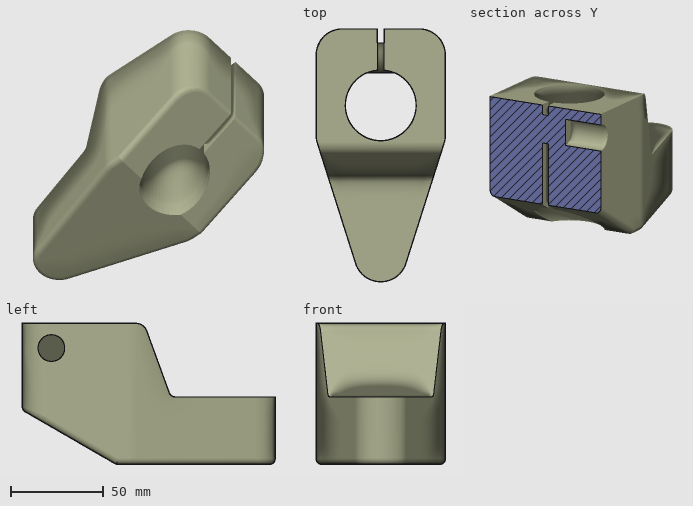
import cadquery as cq
import math

body_width = 69.85
body_length = 136.58
body_height = 76.2

back_y = 41.275
front_y = back_y - body_length
round_radius = 14.2875
taper_start_y = -18.3

nose_height = 36.5125
slope_foot_y = -38.9
slope_lean = 20.0
slope_top_radius = 6.35
slope_foot_radius = 3.175
undercut_length = 50.8
undercut_angle = 30.0
base_edge_radius = 3.175

bore_diameter = 38.1
slot_width = 3.66
pin_y = back_y - 15.75
pin_z = body_height - 13.4
pin_diameter = 16.2
pin_length = 25.4
socket_diameter = 14.4

half_width = body_width / 2


def make_plan_prism():
    """Full-height prism of the plan outline, with rounded vertical corners."""
    nose_center_y = front_y + round_radius

    reach_y = taper_start_y - nose_center_y
    reach = math.hypot(half_width, reach_y)
    normal_angle = math.atan2(reach_y, half_width) - math.acos(round_radius / reach)
    tangent_x = round_radius * math.cos(normal_angle)
    tangent_y = nose_center_y + round_radius * math.sin(normal_angle)

    prism = (
        cq.Workplane("XY")
        .moveTo(-half_width, back_y)
        .lineTo(half_width, back_y)
        .lineTo(half_width, taper_start_y)
        .lineTo(tangent_x, tangent_y)
        .threePointArc((0, front_y), (-tangent_x, tangent_y))
        .lineTo(-half_width, taper_start_y)
        .close()
        .extrude(body_height)
    )
    corners = [(x, y) for x in (-half_width, half_width) for y in (back_y, taper_start_y)]
    for x, y in corners:
        corner_edge = cq.selectors.NearestToPointSelector((x, y, body_height / 2))
        prism = prism.edges(corner_edge).fillet(round_radius)
    return prism


def make_side_prism():
    """Prism of the side profile, across the full width."""
    slope_top_y = slope_foot_y + (body_height - nose_height) * math.tan(math.radians(slope_lean))
    undercut_rise = undercut_length * math.tan(math.radians(undercut_angle))
    profile = [
        (back_y, undercut_rise),
        (back_y, body_height),
        (slope_top_y, body_height),
        (slope_foot_y, nose_height),
        (front_y, nose_height),
        (front_y, 0),
        (back_y - undercut_length, 0),
    ]
    prism = cq.Workplane("YZ").polyline(profile).close().extrude(half_width, both=True)
    slope_top_edge = cq.selectors.NearestToPointSelector((0, slope_top_y, body_height))
    slope_foot_edge = cq.selectors.NearestToPointSelector((0, slope_foot_y, nose_height))
    prism = prism.edges(slope_top_edge).fillet(slope_top_radius)
    return prism.edges(slope_foot_edge).fillet(slope_foot_radius)


def round_base_edges(body):
    """Round the rim of the base and of the undercut, leaving the crease between them sharp."""
    undercut_normal = cq.Vector(
        0, math.sin(math.radians(undercut_angle)), -math.cos(math.radians(undercut_angle))
    )
    base = body.faces("<Z")
    undercut = body.faces(cq.selectors.DirectionSelector(undercut_normal))
    crease = cq.selectors.NearestToPointSelector((0, back_y - undercut_length, 0))
    rim = base.add(undercut).edges(cq.selectors.InverseSelector(crease))
    return rim.fillet(base_edge_radius)


def cut_bore_and_slot(body):
    """Cut the post bore and the clamping slot that opens it to the back."""
    bore = cq.Workplane("XY").circle(bore_diameter / 2).extrude(body_height)
    slot = cq.Workplane("XY").box(slot_width, back_y, body_height, centered=(True, False, False))
    return body.cut(bore).cut(slot)


def make_cylinder_x(diameter, start_x, length):
    """Cylinder on the clamp pin axis, running in +X from start_x."""
    start = cq.Vector(start_x, pin_y, pin_z)
    return cq.Workplane(cq.Solid.makeCylinder(diameter / 2, length, start, cq.Vector(1, 0, 0)))


def add_pin_and_socket(body):
    """Bridge the slot with a solid pin and sink a blind socket from -X down to the pin's end."""
    pin_start_x = -pin_length / 2
    pin = make_cylinder_x(pin_diameter, pin_start_x, pin_length)
    socket = make_cylinder_x(socket_diameter, -half_width, pin_start_x + half_width)
    return body.union(pin).cut(socket)


body = make_plan_prism().intersect(make_side_prism())
body = round_base_edges(body)
body = cut_bore_and_slot(body)
result = add_pin_and_socket(body)